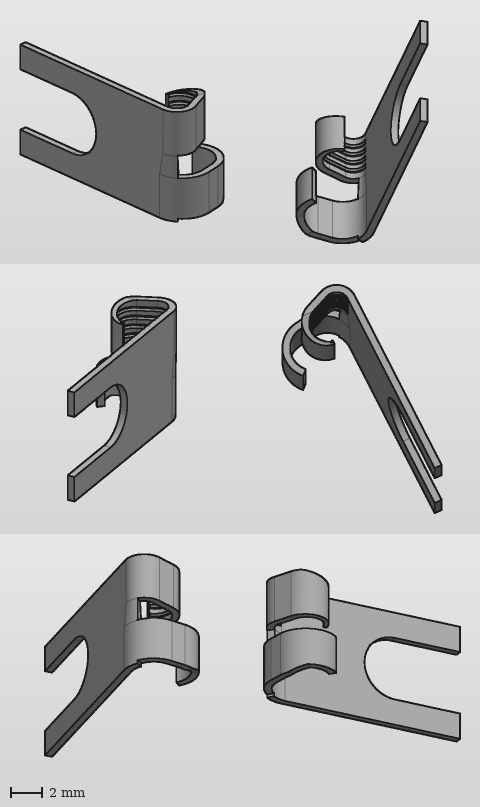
import cadquery as cq
import math

sheet = 0.5
height = 7.92
fork_slot_width = 4.35
fork_slot_depth = 6.92

hook_height = 3.16
middle_bottom = hook_height
middle_top = height - hook_height

middle_start_x = 11.95
middle_end_x = 13.94

lower_bend_x = 12.7
lower_bend_radius = 2.08
lower_bend_angle = 100
lower_straight = 1.0
lower_curl_outer = 2.08
lower_curl_inner = lower_curl_outer - sheet
lower_tip_angle = 133.5

bottom_step = 0.22
lower_taper_rise = 0.43
lower_taper_start = -0.52
lower_taper_end = 0.83

upper_bend_x = 12.98
upper_bend_radius = 1.3
upper_bend_angle = 114
upper_straight = 1.36
upper_curl_outer = 1.51
upper_curl_inner = 1.14
upper_tip_y = 2.51

upper_taper_x = 13.17
upper_taper_length = 2.47
upper_taper_drop = 0.6

groove_count = 4
groove_pitch = 0.64
groove_width = 0.3
groove_depth = 0.1
groove_end_angle = 4

margin = 1.48


def polar(center, radius, angle):
    """Point on a circle, with the angle in degrees from +X."""
    turn = math.radians(angle)
    return (center[0] + radius * math.cos(turn), center[1] + radius * math.sin(turn))


def curl_start_and_center(bend_center, bend_radius, bend_angle, straight, curl_radius):
    """Start and centre of a curl that continues tangentially from the bend and its straight run."""
    bend_end = polar(bend_center, bend_radius, bend_angle - 90)
    curl_start = polar(bend_end, straight, bend_angle)
    return curl_start, polar(curl_start, -curl_radius, bend_angle - 90)


def level_tip_angle(curl_center, curl_radius, y):
    """Angle at which the far side of a curl comes down to the level y."""
    return 180 - math.degrees(math.asin((y - curl_center[1]) / curl_radius))


def hook_face(bend_center, bend_radius, bend_angle, straight, curl_radius, tip_angle):
    """One face of a hook as an open path in XY: bend, straight run and curl."""
    curl_start, curl_center = curl_start_and_center(
        bend_center, bend_radius, bend_angle, straight, curl_radius
    )
    curl_middle_angle = (bend_angle - 90 + tip_angle) / 2
    return (
        cq.Workplane("XY")
        .moveTo(*polar(bend_center, bend_radius, -90))
        .threePointArc(
            polar(bend_center, bend_radius, bend_angle / 2 - 90),
            polar(bend_center, bend_radius, bend_angle - 90),
        )
        .lineTo(*curl_start)
        .threePointArc(
            polar(curl_center, curl_radius, curl_middle_angle),
            polar(curl_center, curl_radius, tip_angle),
        )
    )


def hook_solid(outer, inner, z_size):
    """Hook between its outer and inner face paths, closed by flat faces at the plate and the tip."""
    outer_wire = outer.wire().val()
    inner_wire = inner.wire().val()
    plate_edge = cq.Edge.makeLine(outer_wire.startPoint(), inner_wire.startPoint())
    tip_edge = cq.Edge.makeLine(outer_wire.endPoint(), inner_wire.endPoint())
    edges = outer_wire.Edges() + inner_wire.Edges() + [plate_edge, tip_edge]
    outline = cq.Wire.combine(edges)[0]
    return cq.Workplane("XY").add(cq.Solid.extrudeLinear(outline, [], cq.Vector(0, 0, z_size)))


def plate(end_x, z_bottom, z_top):
    """Flat sheet from the fork tips to end_x."""
    strip = cq.Workplane("XY").box(end_x, sheet, z_top - z_bottom, centered=False)
    return strip.translate((0, 0, z_bottom))


def bend_section(sketch, bend_x, radius):
    """Outline of the sheet from the middle tab's start, around a bend, to a radial end face."""
    center = (bend_x, radius)
    inner_radius = radius - sheet
    end_angle = math.degrees(math.asin((middle_end_x - bend_x) / radius)) - 90
    middle_angle = (end_angle - 90) / 2
    return (
        sketch.moveTo(middle_start_x, 0)
        .lineTo(bend_x, 0)
        .threePointArc(polar(center, radius, middle_angle), polar(center, radius, end_angle))
        .lineTo(*polar(center, inner_radius, end_angle))
        .threePointArc(polar(center, inner_radius, middle_angle), (bend_x, sheet))
        .lineTo(middle_start_x, sheet)
        .close()
    )


def middle_tab():
    lower_section = bend_section(
        cq.Workplane("XY", origin=(0, 0, middle_bottom)), lower_bend_x, lower_bend_radius
    )
    both_sections = bend_section(
        lower_section.workplane(offset=middle_top - middle_bottom), upper_bend_x, upper_bend_radius
    )
    return both_sections.loft(ruled=True)


def lower_hook():
    bend_center = (lower_bend_x, lower_bend_radius)

    def face(bend_radius, curl_radius):
        return hook_face(
            bend_center, bend_radius, lower_bend_angle, lower_straight, curl_radius, lower_tip_angle
        )

    outer = face(lower_bend_radius, lower_curl_outer)
    inner = face(lower_bend_radius - sheet, lower_curl_inner)
    hook = hook_solid(outer, inner, hook_height - bottom_step).translate((0, 0, bottom_step))

    _, curl_center = curl_start_and_center(
        bend_center, lower_bend_radius, lower_bend_angle, lower_straight, lower_curl_outer
    )
    tip_turn = math.radians(lower_tip_angle)
    taper_plane = cq.Plane(
        origin=(curl_center[0], curl_center[1], bottom_step),
        xDir=(math.cos(tip_turn), math.sin(tip_turn), 0),
        normal=(math.sin(tip_turn), -math.cos(tip_turn), 0),
    )
    taper_reach = lower_curl_outer + margin
    taper = (
        cq.Workplane(taper_plane)
        .moveTo(lower_taper_start, 0)
        .lineTo(lower_taper_end, lower_taper_rise)
        .lineTo(taper_reach, lower_taper_rise)
        .lineTo(taper_reach, 0)
        .close()
        .extrude(taper_reach, both=True)
    )
    step = bend_section(cq.Workplane("XY"), lower_bend_x, lower_bend_radius).extrude(bottom_step)
    return hook.cut(taper).union(step)


def upper_hook():
    bend_center = (upper_bend_x, upper_bend_radius)
    inner_bend_radius = upper_bend_radius - sheet

    def face(bend_radius, curl_radius, angle_before_tip=0):
        _, curl_center = curl_start_and_center(
            bend_center, bend_radius, upper_bend_angle, upper_straight, curl_radius
        )
        tip_angle = level_tip_angle(curl_center, curl_radius, upper_tip_y) - angle_before_tip
        return hook_face(
            bend_center, bend_radius, upper_bend_angle, upper_straight, curl_radius, tip_angle
        )

    outer = face(upper_bend_radius, upper_curl_outer)
    inner = face(inner_bend_radius, upper_curl_inner)
    hook = hook_solid(outer, inner, hook_height).translate((0, 0, middle_top))

    taper_reach = upper_taper_length + margin
    taper = (
        cq.Workplane("XZ", origin=(upper_taper_x, upper_tip_y, height))
        .lineTo(-taper_reach, 0)
        .lineTo(-taper_reach, -taper_reach * upper_taper_drop / upper_taper_length)
        .close()
        .extrude(-2 * upper_curl_outer)
    )
    hook = hook.cut(taper)

    groove = (
        cq.Workplane("YZ", origin=(upper_bend_x, sheet, 0))
        .moveTo(0, -groove_width / 2)
        .lineTo(-groove_depth, 0)
        .lineTo(0, groove_width / 2)
        .close()
        .sweep(face(inner_bend_radius, upper_curl_inner, groove_end_angle))
    )
    hook_center_z = middle_top + hook_height / 2
    for index in range(groove_count):
        offset = (index - (groove_count - 1) / 2) * groove_pitch
        hook = hook.cut(groove.translate((0, 0, hook_center_z + offset)))
    return hook


def fork_slot():
    end_radius = fork_slot_width / 2
    straight = fork_slot_depth - end_radius
    return (
        cq.Workplane("XZ", origin=(0, 0, height / 2))
        .moveTo(0, -end_radius)
        .lineTo(straight, -end_radius)
        .threePointArc((fork_slot_depth, 0), (straight, end_radius))
        .lineTo(0, end_radius)
        .close()
        .extrude(-sheet)
    )


result = (
    plate(lower_bend_x, 0, middle_bottom)
    .union(plate(middle_start_x, middle_bottom, middle_top))
    .union(plate(upper_bend_x, middle_top, height))
    .union(lower_hook())
    .union(middle_tab())
    .union(upper_hook())
    .cut(fork_slot())
)